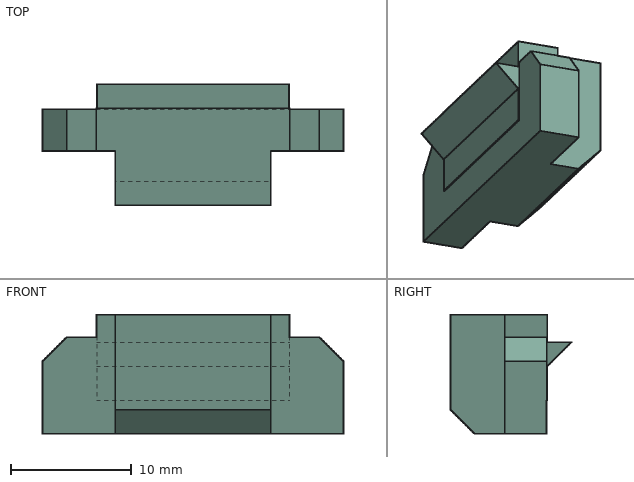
import cadquery as cq

total_length = 24.9
total_depth = 10.0
total_height = 9.85

body_length = 12.9
body_height = 8.0
wing_depth = 3.45
chamfer = 2.0

cap_length = 15.99
pad_length = 15.89
pad_thickness = 0.07
pad_bottom = 2.76
latch_reach = 2.0
latch_top = 7.6

back_y = pad_thickness
front_y = back_y + latch_reach - total_depth


def block(length, y_min, y_max, z_min, z_max):
    """Box centred on X, spanning the given Y and Z limits."""
    return cq.Workplane("XY").box(
        length, y_max - y_min, z_max - z_min, centered=(True, False, False)
    ).translate((0, y_min, z_min))


wings = block(total_length, -wing_depth, 0, 0, body_height)
wings = wings.edges("|Y and >Z").chamfer(chamfer)

body = block(body_length, front_y, 0, 0, body_height)
body = body.edges("|X and <Z and <Y").chamfer(chamfer)

cap = block(cap_length, -wing_depth, back_y, body_height, total_height)
cap = cap.union(block(body_length, front_y, back_y, body_height, total_height))

pad = block(pad_length, 0, back_y, pad_bottom, body_height)

latch = (
    cq.Workplane("YZ")
    .polyline([
        (back_y, latch_top),
        (back_y + latch_reach, latch_top),
        (back_y, latch_top - latch_reach),
    ])
    .close()
    .extrude(pad_length / 2, both=True)
)

result = wings.union(body).union(cap).union(pad).union(latch)